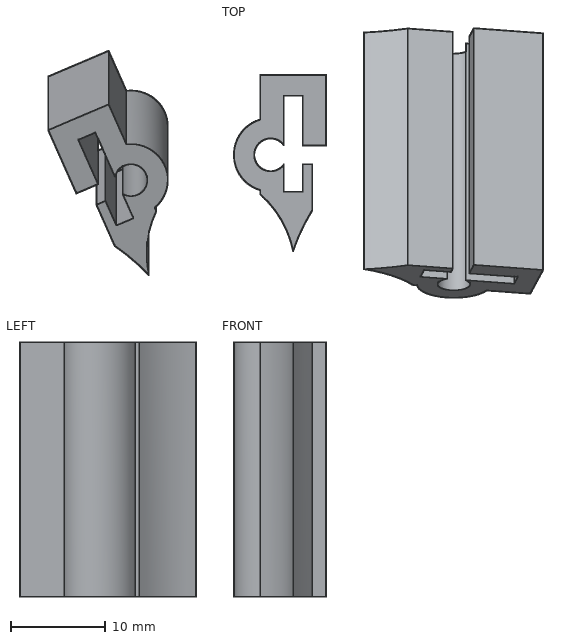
import cadquery as cq

length = 27.0
total_width = 9.8
total_depth = 18.68

bore_radius = 1.73
barrel_radius = 3.92

body_width = 7.0
body_right = total_width - barrel_radius
body_left = body_right - body_width
body_back = 8.48

slot_width = 1.97
slot_right_wall = 2.5
slot_back_wall = 2.25
slot_right = body_right - slot_right_wall
slot_left = slot_right - slot_width
slot_back = body_back - slot_back_wall
slot_front = -3.9
mouth_width = 1.97

lip_thickness = 1.05
lip_right = slot_right + lip_thickness
lip_front = -5.85
flank_start = -4.18
tip_x = 2.38
tip_y = body_back - total_depth
left_flank_hollow = 0.57
right_flank_hollow = 0.14


def box(left, right, front, back):
    """Full-length block spanning the given X and Y limits."""
    return cq.Workplane("XY").rect(right - left, back - front).extrude(length).translate(
        ((left + right) / 2, (front + back) / 2, 0)
    )


def cylinder(radius):
    """Full-length cylinder on the bore axis."""
    return cq.Workplane("XY").circle(radius).extrude(length)


def make_body():
    """Rectangular body with the narrower lip and the curved point."""
    return (
        cq.Workplane("XY")
        .moveTo(body_left, body_back)
        .lineTo(body_right, body_back)
        .lineTo(body_right, mouth_width / 2)
        .lineTo(lip_right, mouth_width / 2)
        .lineTo(lip_right, lip_front)
        .sagittaArc((tip_x, tip_y), -right_flank_hollow)
        .sagittaArc((body_left, flank_start), -left_flank_hollow)
        .close()
        .extrude(length)
    )


def make_barrel():
    """Part of the barrel that lies left of the slot."""
    clip = box(-barrel_radius, slot_left, -barrel_radius, barrel_radius)
    return cylinder(barrel_radius).intersect(clip)


slot = box(slot_left, slot_right, slot_front, slot_back)
mouth = box(slot_left, body_right, -mouth_width / 2, mouth_width / 2)

result = make_body().union(make_barrel())
result = result.cut(cylinder(bore_radius)).cut(slot).cut(mouth)
result = result.translate((0, 0, -length / 2))